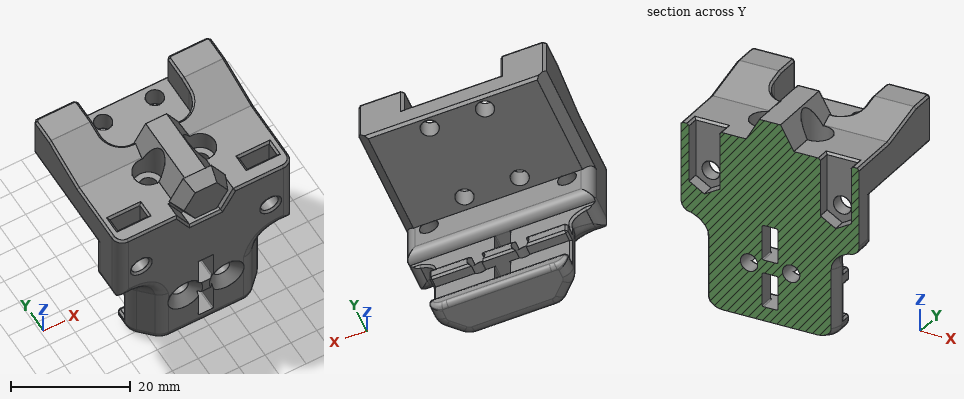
import cadquery as cq
import math

HALF_WIDTH = 17.0
DEPTH = 28.0
EDGE_CHAMFER = 0.4
REAR_CHAMFER = 0.5
CORNER_RADIUS = 2.0
OVERCUT = 1.0

BLOCK_BOTTOM = 25.8
DECK_TOP = 33.85
ARM_TOP = 36.1
SLOPE_START_Y = 13.5
SLOPE_END_Y = 22.8
UNDERSIDE_CHAMFER = 1.7

PLATE_THICKNESS = 8.0
PLATE_TOP = BLOCK_BOTTOM + UNDERSIDE_CHAMFER
LOWER_THICKNESS = 6.0
LEDGE_BOTTOM = 18.15
LOWER_HALF_WIDTH = 12.5
FOOT_FRONT_RADIUS = 1.95
FOOT_REAR_RADIUS = 1.0

WAIST_X = 15.0
WAIST_Z = 13.2
WAIST_CORE_RADIUS = 1.0
WAIST_SIDE_RADIUS = WAIST_X - LOWER_HALF_WIDTH
WAIST_TOP_RADIUS = 3.8
WAIST_SIDE_BEVEL = 4.0
WAIST_TOP_BEVEL = 2.0
WAIST_SIDE_BLEND = 3.0
WAIST_TOP_BLEND = 2.0

FLANGE_TOP = 2.75
RIB_BOTTOM = 9.1
RIB_TOP = 11.65
SLOT_WIDTH = 2.9
SLOT_CORNER_RADIUS = 0.2

POCKET_FRONT_Y = 16.5
POCKET_HALF_WIDTH = 8.7
POCKET_DEPTH = 4.0
POCKET_FLOOR = DECK_TOP - POCKET_DEPTH
POCKET_RADIUS = 4.0

SCREW_DIAMETER = 3.2
SCREW_X = 5.0
SCREW_ROW_SPACING = 15.0
FRONT_SCREW_Y = 10.5
REAR_SCREW_Y = FRONT_SCREW_Y + SCREW_ROW_SPACING
COUNTERBORE_DIAMETER = 5.5

COUNTERSINK_DIAMETER = 6.7
COUNTERSINK_ANGLE = 90.0
COUNTERSINK_X = 4.0
COUNTERSINK_Z = (RIB_BOTTOM + RIB_TOP) / 2

NUT_HOLE_DIAMETER = 3.4
NUT_X = 12.5
NUT_Z = 24.6
NUT_ACROSS_FLATS = 5.8
NUT_THICKNESS = 2.6
NUT_FRONT_Y = 2.85

HEX_CENTRE_Z = 34.75
RIDGE_ACROSS_FLATS = 7.0
CAP_ACROSS_FLATS = 9.4
CAP_FRONT_ACROSS_FLATS = 7.3
CAP_LENGTH = 2.9
CAP_END_GAP = 0.25
CAP_SIDE_GAP = 0.5
RECESS_ACROSS_FLATS = CAP_ACROSS_FLATS + 2 * CAP_SIDE_GAP
RIDGE_FRONT_Y = CAP_LENGTH + CAP_END_GAP


def box(x_range, y_range, z_range):
    """Axis-aligned box between the given limits."""
    size = [high - low for low, high in (x_range, y_range, z_range)]
    corner = (x_range[0], y_range[0], z_range[0])
    return cq.Workplane("XY").box(*size, centered=False).translate(corner)


def both_sides(shape):
    """The shape and its mirror image across the YZ plane."""
    return [shape, shape.mirror("YZ")]


def front_plane(x, y, z):
    """Workplane facing +Y with local x along -X and local y along +Z."""
    return cq.Workplane(cq.Plane(origin=(x, y, z), xDir=(-1, 0, 0), normal=(0, 1, 0)))


def hexagon(plane, across_flats):
    """Regular hexagon with two corners on the local x axis."""
    return plane.polygon(6, across_flats / math.cos(math.pi / 6))


def hex_frustum(y_start, y_end, flats_start, flats_end, z):
    """Hexagonal frustum along Y."""
    start = hexagon(front_plane(0, y_start, z), flats_start)
    return hexagon(start.workplane(offset=y_end - y_start), flats_end).loft(ruled=True)


def make_upper_block():
    """Deck and arms, with rounded front corners and chamfered rims."""
    block = (
        cq.Workplane("YZ")
        .moveTo(0, BLOCK_BOTTOM)
        .lineTo(DEPTH, BLOCK_BOTTOM)
        .lineTo(DEPTH, ARM_TOP)
        .lineTo(SLOPE_END_Y, ARM_TOP)
        .lineTo(SLOPE_START_Y, DECK_TOP)
        .lineTo(0, DECK_TOP)
        .close()
        .extrude(HALF_WIDTH, both=True)
    )
    block = block.edges("|Z and <Y").fillet(CORNER_RADIUS)
    block = block.cut(make_pocket())
    block = block.edges("|Z and >Y").chamfer(REAR_CHAMFER)
    block = block.faces("<Z").edges("(<X or >X) and |Y").chamfer(UNDERSIDE_CHAMFER)
    block = block.faces("<Z").edges(">Y").chamfer(REAR_CHAMFER)
    return block.edges(top_rim_selector()).chamfer(EDGE_CHAMFER)


def top_rim_selector():
    """Edges round the top surface, leaving out the two folds of the slope."""
    margin = 0.1
    rim = cq.selectors.BoxSelector(
        (-HALF_WIDTH - margin, -margin, DECK_TOP - margin),
        (HALF_WIDTH + margin, DEPTH + margin, ARM_TOP + margin),
    )
    inner_x = HALF_WIDTH - 1.0
    for y, z in ((SLOPE_START_Y, DECK_TOP), (SLOPE_END_Y, ARM_TOP)):
        rim = rim - cq.selectors.BoxSelector(
            (-inner_x, y - margin, z - margin), (inner_x, y + margin, z + margin)
        )
    return rim


def make_pocket():
    """Cutter for the pocket between the arms, rounded at its front corners."""
    return (
        box(
            (-POCKET_HALF_WIDTH, POCKET_HALF_WIDTH),
            (POCKET_FRONT_Y, DEPTH + OVERCUT),
            (POCKET_FLOOR, ARM_TOP + OVERCUT),
        )
        .edges("|Z and <Y")
        .fillet(POCKET_RADIUS)
    )

def make_plate():
    """Vertical plate with rounded long edges and a stepped back."""
    plate = box((-HALF_WIDTH, HALF_WIDTH), (0, PLATE_THICKNESS), (0, PLATE_TOP))
    plate = plate.edges("|Z").fillet(CORNER_RADIUS)
    ledge_end_z = LEDGE_BOTTOM + CORNER_RADIUS
    back_step = (
        cq.Workplane("YZ")
        .moveTo(LOWER_THICKNESS, -OVERCUT)
        .lineTo(LOWER_THICKNESS, LEDGE_BOTTOM)
        .radiusArc((PLATE_THICKNESS, ledge_end_z), -CORNER_RADIUS)
        .lineTo(PLATE_THICKNESS + OVERCUT, ledge_end_z)
        .lineTo(PLATE_THICKNESS + OVERCUT, -OVERCUT)
        .close()
        .extrude(HALF_WIDTH + OVERCUT, both=True)
    )
    plate = plate.cut(back_step)
    for waist in both_sides(make_waist_cutter()):
        plate = plate.cut(waist)
    for corner in both_sides(make_outer_corner_cutter()):
        plate = plate.cut(corner)
    return plate


def waist_section(turn):
    """Cutter section at a turn of 0 (side wall) to 1 (underside of the wide plate)."""

    def between(side, top):
        return side + (top - side) * turn

    radius = between(WAIST_SIDE_RADIUS, WAIST_TOP_RADIUS)
    bevel = between(WAIST_SIDE_BEVEL, WAIST_TOP_BEVEL)
    blend = between(WAIST_SIDE_BLEND, WAIST_TOP_BLEND)

    tangent = blend * math.tan(math.pi / 8)
    tangent_leg = tangent * math.sin(math.pi / 4)
    angle = turn * math.pi / 2
    outward = cq.Vector(math.cos(angle), 0, math.sin(angle))
    plane = cq.Plane(
        origin=(-WAIST_X, 0, WAIST_Z), xDir=outward, normal=outward.cross(cq.Vector(0, 1, 0))
    )
    return (
        cq.Workplane(plane)
        .moveTo(WAIST_CORE_RADIUS, 0)
        .lineTo(radius + bevel + tangent, 0)
        .radiusArc((radius + bevel - tangent_leg, tangent_leg), blend)
        .lineTo(radius + tangent_leg, bevel - tangent_leg)
        .radiusArc((radius, bevel + tangent), blend)
        .lineTo(radius, LOWER_THICKNESS - EDGE_CHAMFER)
        .lineTo(radius + EDGE_CHAMFER, LOWER_THICKNESS)
        .lineTo(radius + EDGE_CHAMFER, PLATE_THICKNESS)
        .lineTo(WAIST_CORE_RADIUS, PLATE_THICKNESS)
        .close()
    )


def make_waist_cutter():
    """Material removed beside the lower plate on the -X side."""
    reach = HALF_WIDTH + OVERCUT - WAIST_X
    turns = (0, 0.5, 1)
    bend = cq.Workplane(cq.Solid.makeLoft([waist_section(turn).wire().val() for turn in turns]))
    side = waist_section(0).extrude(-WAIST_Z - OVERCUT)
    underside = waist_section(1).extrude(reach)
    core = box(
        (-WAIST_X - reach, -WAIST_X + WAIST_CORE_RADIUS),
        (0, PLATE_THICKNESS),
        (-OVERCUT, WAIST_Z + WAIST_CORE_RADIUS),
    )
    return core.union(bend).union(side).union(underside)


def make_outer_corner_cutter():
    """Rounds the lower outer corner of the wide plate on the -X side."""
    centre_x = -HALF_WIDTH + CORNER_RADIUS
    centre_z = WAIST_Z + WAIST_TOP_RADIUS + CORNER_RADIUS
    corner = box(
        (-HALF_WIDTH - OVERCUT, centre_x),
        (-OVERCUT, PLATE_THICKNESS + OVERCUT),
        (WAIST_Z, centre_z),
    )
    rounding = front_plane(centre_x, -OVERCUT, centre_z).circle(CORNER_RADIUS)
    return corner.cut(rounding.extrude(PLATE_THICKNESS + 2 * OVERCUT))


def add_back_ribs(plate):
    """Adds the cross rib and the foot flange behind the lower plate."""
    x_range = (-LOWER_HALF_WIDTH, LOWER_HALF_WIDTH)
    y_range = (LOWER_THICKNESS - EDGE_CHAMFER, PLATE_THICKNESS)
    rib = box(x_range, y_range, (RIB_BOTTOM, RIB_TOP))
    rib = rib.edges("not <Y").chamfer(EDGE_CHAMFER)
    flange = box(x_range, y_range, (0, FLANGE_TOP))
    flange = flange.edges("not (<Y or <Z)").chamfer(EDGE_CHAMFER)
    return plate.union(rib).union(flange)


def round_foot(plate):
    """Rounds the rim of the underside, tighter along the back."""
    plate = plate.faces("<Z").edges("not >Y").fillet(FOOT_FRONT_RADIUS)
    return plate.faces("<Z").edges(">Y").fillet(FOOT_REAR_RADIUS)


def make_ridge():
    """Ridge on the deck with a flat top and flanks at 60 degrees."""
    top_z = HEX_CENTRE_Z + RIDGE_ACROSS_FLATS / 2
    top_half_width = RIDGE_ACROSS_FLATS / 2 * math.tan(math.pi / 6)
    foot_half_width = top_half_width + (top_z - DECK_TOP) * math.tan(math.pi / 6)
    return (
        front_plane(0, RIDGE_FRONT_Y, 0)
        .moveTo(-foot_half_width, DECK_TOP)
        .lineTo(foot_half_width, DECK_TOP)
        .lineTo(top_half_width, top_z)
        .lineTo(-top_half_width, top_z)
        .close()
        .extrude(POCKET_FRONT_Y - RIDGE_FRONT_Y)
    )


def make_cap_recess():
    """Hexagonal recess around the cap, flared at the front face."""
    recess = hexagon(front_plane(0, 0, HEX_CENTRE_Z), RECESS_ACROSS_FLATS).extrude(RIDGE_FRONT_Y)
    flare = hex_frustum(
        0, EDGE_CHAMFER, RECESS_ACROSS_FLATS + 2 * EDGE_CHAMFER, RECESS_ACROSS_FLATS, HEX_CENTRE_Z
    )
    return recess.union(flare)


def make_screw_holes():
    """Four vertical screw holes, the front pair counterbored from the deck."""
    floor = cq.Workplane("XY").workplane(offset=POCKET_FLOOR)
    front_points = [(-SCREW_X, FRONT_SCREW_Y), (SCREW_X, FRONT_SCREW_Y)]
    rear_points = [(-SCREW_X, REAR_SCREW_Y), (SCREW_X, REAR_SCREW_Y)]
    drop = POCKET_FLOOR - BLOCK_BOTTOM + OVERCUT
    holes = floor.pushPoints(front_points + rear_points).circle(SCREW_DIAMETER / 2).extrude(-drop)
    counterbore_height = HEX_CENTRE_Z + RIDGE_ACROSS_FLATS / 2 - POCKET_FLOOR
    counterbores = (
        floor.pushPoints(front_points).circle(COUNTERBORE_DIAMETER / 2).extrude(counterbore_height)
    )
    return holes.union(counterbores)


def make_front_hole(x, z, diameter, mouth_diameter, mouth_depth, depth):
    """Hole from the front face with a conical mouth."""
    hole = front_plane(x, 0, z).circle(diameter / 2).extrude(depth)
    mouth = (
        front_plane(x, 0, z)
        .circle(mouth_diameter / 2)
        .workplane(offset=mouth_depth)
        .circle(diameter / 2)
        .loft()
    )
    return hole.union(mouth)


def make_countersunk_hole():
    """Countersunk hole on the -X side."""
    ring_width = (COUNTERSINK_DIAMETER - SCREW_DIAMETER) / 2
    depth = ring_width / math.tan(math.radians(COUNTERSINK_ANGLE / 2))
    return make_front_hole(
        -COUNTERSINK_X, COUNTERSINK_Z, SCREW_DIAMETER, COUNTERSINK_DIAMETER, depth, PLATE_THICKNESS
    )


def make_nut_hole():
    """Front screw hole on the -X side."""
    mouth_diameter = NUT_HOLE_DIAMETER + 2 * EDGE_CHAMFER
    return make_front_hole(
        -NUT_X, NUT_Z, NUT_HOLE_DIAMETER, mouth_diameter, EDGE_CHAMFER, PLATE_THICKNESS
    )


def make_nut_slot():
    """Slot on the -X side with a V floor for a hexagon nut and a flared mouth."""
    half_width = NUT_ACROSS_FLATS / 2
    side_length = NUT_ACROSS_FLATS / math.sqrt(3)
    slot = (
        front_plane(-NUT_X, NUT_FRONT_Y, NUT_Z)
        .moveTo(0, -side_length)
        .lineTo(half_width, -side_length / 2)
        .lineTo(half_width, DECK_TOP - NUT_Z)
        .lineTo(-half_width, DECK_TOP - NUT_Z)
        .lineTo(-half_width, -side_length / 2)
        .close()
        .extrude(NUT_THICKNESS)
    )
    mouth = (
        cq.Workplane("XY", origin=(-NUT_X, NUT_FRONT_Y + NUT_THICKNESS / 2, DECK_TOP))
        .rect(NUT_ACROSS_FLATS + 2 * EDGE_CHAMFER, NUT_THICKNESS + 2 * EDGE_CHAMFER)
        .workplane(offset=-EDGE_CHAMFER)
        .rect(NUT_ACROSS_FLATS, NUT_THICKNESS)
        .loft(ruled=True)
    )
    return slot.union(mouth)


def make_strap_slot(bottom, top):
    """Upright slot through the lower plate."""
    half_width = SLOT_WIDTH / 2
    slot = box((-half_width, half_width), (-OVERCUT, PLATE_THICKNESS), (bottom, top))
    return slot.edges("|Y").fillet(SLOT_CORNER_RADIUS)


def make_housing():
    """Housing: upper block, plate, ribs and ridge, with all holes and slots."""
    plate = round_foot(add_back_ribs(make_plate()))
    housing = make_upper_block().union(plate).union(make_ridge())
    cutters = [make_cap_recess(), make_screw_holes()]
    for feature in (make_countersunk_hole(), make_nut_hole(), make_nut_slot()):
        cutters += both_sides(feature)
    for bottom, top in ((FLANGE_TOP, RIB_BOTTOM), (RIB_TOP, LEDGE_BOTTOM)):
        cutters.append(make_strap_slot(bottom, top))
    for cutter in cutters:
        housing = housing.cut(cutter)
    return housing


def make_cap():
    """Hexagonal cap tapering towards its front face."""
    return hex_frustum(0, CAP_LENGTH, CAP_FRONT_ACROSS_FLATS, CAP_ACROSS_FLATS, HEX_CENTRE_Z)


housing = make_housing()
cap = make_cap()
result = cq.Compound.makeCompound([housing.val(), cap.val()])